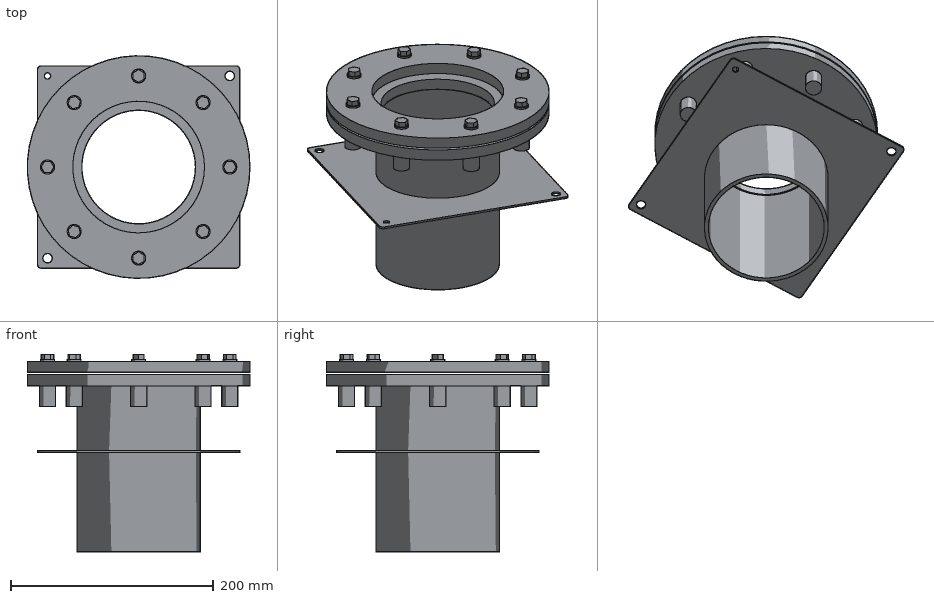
import cadquery as cq
import math

FLANGE_DIAMETER = 220.0
CLAMP_RING_BORE = 130.0
CLAMP_RING_THICKNESS = 11.0
BASE_FLANGE_BORE = 112.0
BASE_FLANGE_THICKNESS = 11.2
FLANGE_GAP = 2.0

BOLT_COUNT = 8
BOLT_CIRCLE_RADIUS = 90.0
WASHER_DIAMETER = 13.9
WASHER_THICKNESS = 1.8
HEX_ACROSS_FLATS = 11.0
HEX_HEIGHT = 5.0
BOSS_DIAMETER = 16.0
BOSS_LENGTH = 20.7

PIPE_OUTER_DIAMETER = 122.0
PIPE_INNER_DIAMETER = 114.5
OVERALL_HEIGHT = 195.0

PLATE_SIDE = 200.0
PLATE_THICKNESS = 2.0
PLATE_CORNER_RADIUS = 4.0
PLATE_TOP_BELOW_FLANGE = 64.0
PLATE_HOLE_OFFSET = BOLT_CIRCLE_RADIUS
LARGE_HOLE_DIAMETER = 9.0
SMALL_HOLE_DIAMETER = 6.0

RING_TOP = OVERALL_HEIGHT - HEX_HEIGHT - WASHER_THICKNESS
RING_BOTTOM = RING_TOP - CLAMP_RING_THICKNESS
BASE_FLANGE_TOP = RING_BOTTOM - FLANGE_GAP
BASE_FLANGE_BOTTOM = BASE_FLANGE_TOP - BASE_FLANGE_THICKNESS
PLATE_BOTTOM = BASE_FLANGE_BOTTOM - PLATE_TOP_BELOW_FLANGE - PLATE_THICKNESS


def tube(outer_diameter, inner_diameter, bottom, height):
    """A plain ring or pipe on the Z axis."""
    return (
        cq.Workplane("XY", origin=(0, 0, bottom))
        .circle(outer_diameter / 2)
        .circle(inner_diameter / 2)
        .extrude(height)
    )


def at_bolt_positions(feature):
    """Copies of a feature on the +X bolt position, turned about Z to every bolt position."""
    step = 360 / BOLT_COUNT
    return [feature.rotate((0, 0, 0), (0, 0, 1), i * step) for i in range(BOLT_COUNT)]


def make_bolt_head():
    """A washer-faced hexagon head with one corner pointing away from the Z axis."""
    across_corners = HEX_ACROSS_FLATS / math.cos(math.pi / 6)
    return (
        cq.Workplane("XY", origin=(BOLT_CIRCLE_RADIUS, 0, RING_TOP))
        .circle(WASHER_DIAMETER / 2)
        .extrude(WASHER_THICKNESS)
        .faces(">Z")
        .workplane()
        .polygon(6, across_corners)
        .extrude(HEX_HEIGHT)
    )


def make_clamp_ring():
    """The upper ring together with its bolt heads."""
    ring = tube(FLANGE_DIAMETER, CLAMP_RING_BORE, RING_BOTTOM, CLAMP_RING_THICKNESS)
    for head in at_bolt_positions(make_bolt_head()):
        ring = ring.union(head)
    return ring


def make_boss():
    """A round boss hanging from the underside of the base flange."""
    return (
        cq.Workplane("XY", origin=(BOLT_CIRCLE_RADIUS, 0, BASE_FLANGE_BOTTOM))
        .circle(BOSS_DIAMETER / 2)
        .extrude(-BOSS_LENGTH)
    )


def make_plate():
    """The thin square plate, open for the pipe and drilled in three of its corners."""
    offset = PLATE_HOLE_OFFSET
    return (
        cq.Workplane("XY", origin=(0, 0, PLATE_BOTTOM))
        .rect(PLATE_SIDE, PLATE_SIDE)
        .extrude(PLATE_THICKNESS)
        .edges("|Z")
        .fillet(PLATE_CORNER_RADIUS)
        .faces(">Z")
        .workplane(origin=(0, 0, 0))
        .hole(PIPE_INNER_DIAMETER)
        .pushPoints([(offset, offset), (-offset, -offset)])
        .hole(LARGE_HOLE_DIAMETER)
        .pushPoints([(-offset, offset)])
        .hole(SMALL_HOLE_DIAMETER)
    )


def make_base():
    """The flanged pipe with its bosses and square plate."""
    base = tube(FLANGE_DIAMETER, BASE_FLANGE_BORE, BASE_FLANGE_BOTTOM, BASE_FLANGE_THICKNESS)
    base = base.union(tube(PIPE_OUTER_DIAMETER, PIPE_INNER_DIAMETER, 0, BASE_FLANGE_BOTTOM))
    base = base.union(make_plate())
    for boss in at_bolt_positions(make_boss()):
        base = base.union(boss)
    return base


clamp_ring = make_clamp_ring()
base = make_base()

result = cq.Compound.makeCompound([clamp_ring.solids().val(), base.solids().val()])